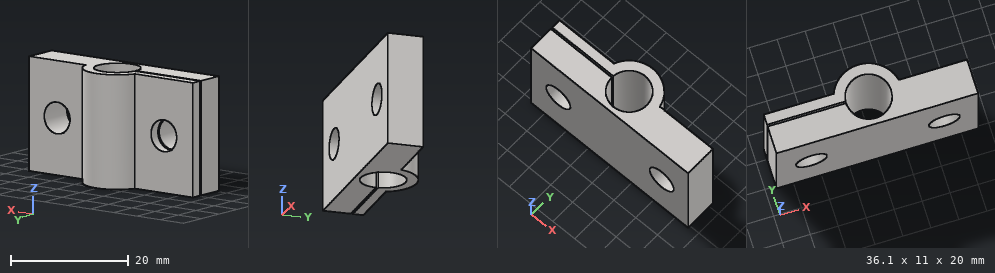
import cadquery as cq

length = 36.1
depth = 11.0
height = 20.0

barrel_radius = 6.0
bore_diameter = 8.0
bore_y = depth - barrel_radius

solid_side_thickness = 6.35
split_side_thickness = 7.3
slit_width = 0.35

bolt_diameter = 5.52
bolt_spacing = 23.75
bolt_center_x = 0.1


def plate_half(x_start, thickness):
    """Half-length plate standing on Z = 0 with its front face on Y = 0."""
    return cq.Workplane("XY").box(length / 2, thickness, height, centered=False).translate((x_start, 0, 0))


def barrel_cylinder(radius):
    """Full-height vertical cylinder on the bore axis."""
    return cq.Workplane("XY").center(0, bore_y).circle(radius).extrude(height)


body = plate_half(-length / 2, split_side_thickness)
body = body.union(plate_half(0, solid_side_thickness))
body = body.union(barrel_cylinder(barrel_radius))

envelope = cq.Workplane("XY").box(length, depth, height, centered=(True, False, False))
body = body.intersect(envelope)

body = body.cut(barrel_cylinder(bore_diameter / 2))
slit = cq.Workplane("XY").box(length / 2, slit_width, height, centered=False)
body = body.cut(slit.translate((-length / 2, bore_y, 0)))

bolt_holes = (
    cq.Workplane("XZ")
    .pushPoints([(bolt_center_x + side * bolt_spacing / 2, height / 2) for side in (-1, 1)])
    .circle(bolt_diameter / 2)
    .extrude(-depth)
)
result = body.cut(bolt_holes)